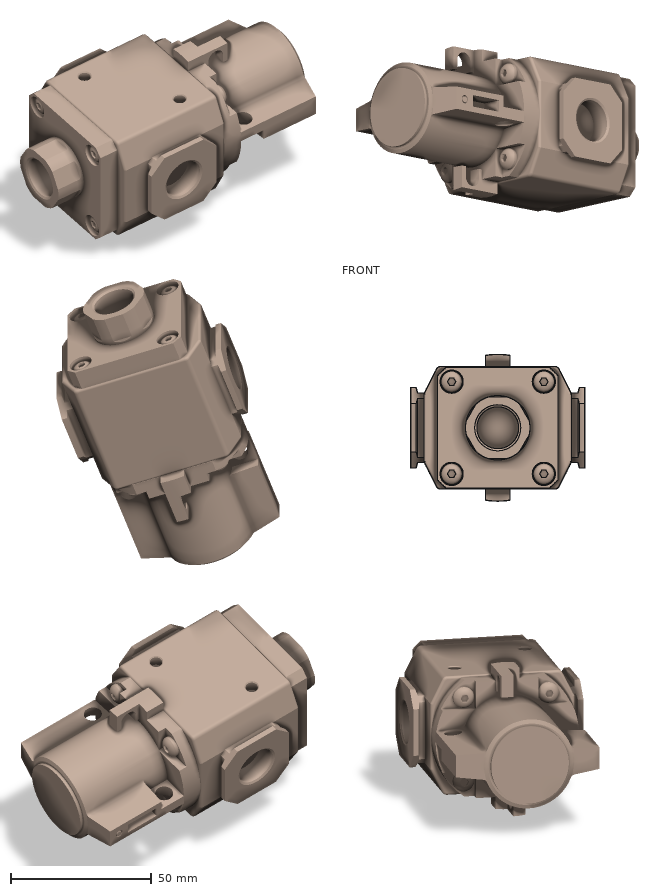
import cadquery as cq


body_front = -22.6
body_back = 21.6
body_half_width = 26.3
body_half_height = 21.9
body_top_half_width = 21.4
body_side_half_height = 12.1
body_ridge_radius = 1.8
body_end_radius = 1.0

cover_front = -29.9
cover_half_side = 21.5
cover_corner = 2.9
cover_screw_offset = 16.5
counterbore_diameter = 8.3
counterbore_depth = 3.5

head_diameter = 7.6
head_rim_height = 1.2
head_top_diameter = 3.2
head_dome_middle_diameter = 6.1
head_dome_middle_height = 2.3
head_height = 2.9
socket_across_corners = 3.0
socket_depth = 1.3

spout_front = -41.2
spout_diameter = 23.0
spout_across_flats = 21.9
spout_flat_count = 6
spout_flat_start = -31.4
spout_flat_runout = 0.8

bore_diameter = 14.9
bore_mouth_diameter = 16.5
bore_mouth_depth = 0.5
spout_bore_depth = 12.9
port_bore_depth = 7.5

port_span = 62.2
port_face = port_span / 2
port_half_side = 14.4
port_corner = 5.8
groove_depth = 1.9
groove_slope_start = 29.1
groove_slope_end = 28.6

top_hole_diameter = 4.4
top_hole_mouth_diameter = 5.2
top_hole_depth = 4.3
top_hole_x = 15.0
top_hole_y = 10.0

flange_back = 29.0
flange_radius = 26.2
flange_half_height = 21.5
tab_half_width = 4.4
notch_inner = 11.4
notch_depth = 3.1
flange_screw_offset = 15.5

lug_back = 39.0
lug_inner_z = 18.0
lug_hole_diameter = 6.5
lug_hole_y = 33.9
lug_slot_centre_z = 21.5
wing_hole_x = 21.0

barrel_radius = 16.5
barrel_back = 64.6
shoulder_radius = 15.0
shoulder_back = 65.1
cap_diameter = 28.4
cap_back = 66.3

wing_tip_x = flange_radius
wing_tip_half_height = 4.1
wing_root_x = 15.0
wing_root_half_height = 5.0
wing_tip_back = 62.1
wing_root_fillet = 1.6

pocket_front = 41.3
pocket_back = 54.2
pocket_height = 4.2
pocket_depth = 7.5
set_screw_y = 58.0
set_screw_hole_diameter = 3.0
set_screw_diameter = 2.2
set_screw_recess = 0.9


def box(x_range, y_range, z_range):
    """Box given by its limits along each axis."""
    limits = (x_range, y_range, z_range)
    sizes = [high - low for low, high in limits]
    return cq.Workplane("XY").box(*sizes, centered=False).translate([low for low, high in limits])


def section(y):
    """Workplane across the main axis at y, facing +Y, with local x along -X."""
    return cq.Workplane("XZ", origin=(0, y, 0)).transformed(rotate=(0, 180, 0))


def turn_half(shape):
    """Copy turned half a turn about the main axis."""
    return shape.rotate((0, 0, 0), (0, 1, 0), 180)


def blind_hole(diameter, mouth_diameter, depth, mouth_depth):
    """Hole cutter going down from the origin, with a conical mouth."""
    radius = diameter / 2
    return (
        cq.Workplane("XZ")
        .polyline([
            (0, 0),
            (mouth_diameter / 2, 0),
            (radius, -mouth_depth),
            (radius, -depth),
            (0, -depth),
        ])
        .close()
        .revolve(360, (0, 0, 0), (0, 1, 0))
    )


def button_head():
    """Domed screw head standing on the origin along +Z, with a hexagon socket."""
    rim = head_diameter / 2
    top = head_top_diameter / 2
    dome_middle = (head_dome_middle_diameter / 2, head_dome_middle_height)
    head = (
        cq.Workplane("XZ")
        .moveTo(0, 0)
        .lineTo(rim, 0)
        .lineTo(rim, head_rim_height)
        .threePointArc(dome_middle, (top, head_height))
        .lineTo(0, head_height)
        .close()
        .revolve(360, (0, 0, 0), (0, 1, 0))
    )
    return head.faces(">Z").workplane().polygon(6, socket_across_corners).cutBlind(-socket_depth)


def corners(offset):
    """The four points at the given offset in X and Z."""
    return [(sx * offset, sz * offset) for sx in (-1, 1) for sz in (-1, 1)]


def mirrored_outline(quarter):
    """Closed outline from its points in the +, + quarter, listed anticlockwise."""
    upper = quarter + [(-a, b) for a, b in reversed(quarter)]
    return upper + [(-a, -b) for a, b in upper]


def make_body():
    outline = [(body_half_width, body_side_half_height), (body_top_half_width, body_half_height)]
    body = section(body_front).polyline(mirrored_outline(outline)).close().extrude(body_back - body_front)
    ridges = body.faces("<Z or >Z").edges("|Y")
    body = ridges.fillet(body_ridge_radius)
    body = body.faces("<Y or >Y").edges().fillet(body_end_radius)
    hole = blind_hole(top_hole_diameter, top_hole_mouth_diameter, top_hole_depth,
                      (top_hole_mouth_diameter - top_hole_diameter) / 2)
    for side in (-1, 1):
        body = body.cut(hole.translate((side * top_hole_x, side * top_hole_y, body_half_height)))
    return body


def make_cover():
    side = 2 * cover_half_side
    cover = section(cover_front).rect(side, side).extrude(body_front - cover_front)
    cover = cover.edges("|Y").chamfer(cover_corner)
    floor = cover_front + counterbore_depth
    head = button_head().rotate((0, 0, 0), (1, 0, 0), 90)
    for x, z in corners(cover_screw_offset):
        counterbore = section(cover_front).center(-x, z).circle(counterbore_diameter / 2)
        cover = cover.cut(counterbore.extrude(counterbore_depth))
        cover = cover.union(head.translate((x, floor, z)))
    return cover


def make_spout():
    radius = spout_diameter / 2
    flat = spout_across_flats / 2
    spout = section(spout_front).circle(radius).extrude(cover_front - spout_front)
    slope = spout_flat_runout / (radius - flat)
    outside = spout_diameter - flat
    flat_cutter = (
        cq.Workplane("YZ")
        .polyline([
            (spout_front, flat),
            (spout_flat_start, flat),
            (spout_flat_start + slope * (outside - flat), outside),
            (spout_front, outside),
        ])
        .close()
        .extrude(radius, both=True)
    )
    for i in range(spout_flat_count):
        spout = spout.cut(flat_cutter.rotate((0, 0, 0), (0, 1, 0), i * 360 / spout_flat_count))
    return spout


def make_port():
    """Port on the +X side."""
    side = 2 * port_half_side
    neck = port_half_side - groove_depth
    octagon = cq.Workplane("YZ").rect(side, side).extrude(port_face).edges("|X").chamfer(port_corner)
    grooved_outline = [
        (0, neck),
        (groove_slope_end, neck),
        (groove_slope_start, port_half_side),
        (port_face, port_half_side),
        (port_face, -port_half_side),
        (groove_slope_start, -port_half_side),
        (groove_slope_end, -neck),
        (0, -neck),
    ]
    for plane in ("XY", "XZ"):
        grooved = cq.Workplane(plane).polyline(grooved_outline).close().extrude(port_half_side, both=True)
        octagon = octagon.intersect(grooved)
    return octagon


def make_flange():
    thickness = flange_back - body_back
    disc = section(body_back).circle(flange_radius).extrude(thickness)
    y_range = (body_back, flange_back)
    full_width = (-flange_radius, flange_radius)
    plate = disc.intersect(box(full_width, y_range, (-flange_half_height, flange_half_height)))
    for x, z in corners((notch_inner + flange_radius) / 2):
        size = flange_radius - notch_inner
        notch = section(flange_back - notch_depth).center(-x, z).rect(size, size)
        plate = plate.cut(notch.extrude(notch_depth))
    tabs = disc.intersect(box((-tab_half_width, tab_half_width), y_range, full_width))
    flange = plate.union(tabs)
    head = button_head().rotate((0, 0, 0), (1, 0, 0), -90)
    for x, z in corners(flange_screw_offset):
        flange = flange.union(head.translate((x, flange_back - notch_depth, z)))
    return flange


def make_lug():
    """Lug behind the upper tab, with a slot open towards the barrel."""
    lug = section(flange_back).circle(flange_radius).extrude(lug_back - flange_back)
    lug = lug.intersect(box((0, tab_half_width), (flange_back, lug_back), (lug_inner_z, flange_radius)))
    hole_radius = lug_hole_diameter / 2
    slot_end = (
        cq.Workplane("YZ")
        .center(lug_hole_y, lug_slot_centre_z)
        .circle(hole_radius)
        .extrude(tab_half_width)
    )
    slot = box(
        (0, tab_half_width),
        (lug_hole_y - hole_radius, lug_hole_y + hole_radius),
        (lug_inner_z, lug_slot_centre_z),
    )
    return lug.cut(slot_end).cut(slot)


def make_barrel():
    """Barrel with its end cap and both wings."""
    cap_radius = cap_diameter / 2
    length = barrel_back - flange_back
    core = section(flange_back).circle(barrel_radius).extrude(length)
    wing_outline = [(wing_tip_x, wing_tip_half_height), (wing_root_x, wing_root_half_height)]
    wings = section(flange_back).polyline(mirrored_outline(wing_outline)).close().extrude(length)
    barrel = core.union(wings)
    root_edges = cq.selectors.BoxSelector(
        (-barrel_radius, flange_back, -barrel_radius / 2),
        (barrel_radius, barrel_back, barrel_radius / 2),
    )
    barrel = barrel.edges("|Y").edges(root_edges).fillet(wing_root_fillet)
    for side in (-1, 1):
        tip_trim = (
            cq.Workplane("XY")
            .polyline([
                (side * barrel_radius, barrel_back),
                (side * wing_tip_x, wing_tip_back),
                (side * wing_tip_x, barrel_back),
            ])
            .close()
            .extrude(barrel_radius, both=True)
        )
        barrel = barrel.cut(tip_trim)
    cap = (
        cq.Workplane("XY")
        .polyline([
            (0, barrel_back),
            (barrel_radius, barrel_back),
            (shoulder_radius, shoulder_back),
            (cap_radius, shoulder_back),
            (cap_radius, cap_back),
            (0, cap_back),
        ])
        .close()
        .revolve(360, (0, 0, 0), (0, 1, 0))
    )
    return barrel.union(cap)


def wing_step():
    """Cutter that leaves only the lower half of the left wing at its mounting hole."""
    step = box((-wing_tip_x, 0), (flange_back, lug_back), (0, flange_half_height))
    return step.cut(section(flange_back).circle(barrel_radius).extrude(lug_back - flange_back))


def cut_wing_features(part):
    step = wing_step()
    part = part.cut(step).cut(turn_half(step))
    for side in (-1, 1):
        hole = cq.Workplane("XY").center(side * wing_hole_x, lug_hole_y).circle(lug_hole_diameter / 2)
        part = part.cut(hole.extrude(barrel_radius, both=True))
    pocket = box(
        (-wing_tip_x, pocket_depth - wing_tip_x),
        (pocket_front, pocket_back),
        (-pocket_height / 2, pocket_height / 2),
    )
    tip = cq.Workplane("YZ", origin=(-wing_tip_x, set_screw_y, 0))
    recess = tip.circle(set_screw_hole_diameter / 2).circle(set_screw_diameter / 2).extrude(set_screw_recess)
    return part.cut(pocket).cut(recess)


def cut_bores(part):
    mouth = bore_mouth_depth
    spout_bore = blind_hole(bore_diameter, bore_mouth_diameter, spout_bore_depth, mouth)
    part = part.cut(spout_bore.rotate((0, 0, 0), (1, 0, 0), 90).translate((0, spout_front, 0)))
    port_bore = blind_hole(bore_diameter, bore_mouth_diameter, port_bore_depth, mouth)
    for side in (-1, 1):
        bore = port_bore.rotate((0, 0, 0), (0, 1, 0), side * 90).translate((side * port_face, 0, 0))
        part = part.cut(bore)
    return part


port = make_port()
lug = make_lug()
barrel = cut_wing_features(make_barrel())
result = make_body().union(make_cover()).union(make_spout())
result = result.union(port).union(turn_half(port)).union(make_flange())
result = result.union(lug).union(turn_half(lug)).union(barrel)
result = cut_bores(result)